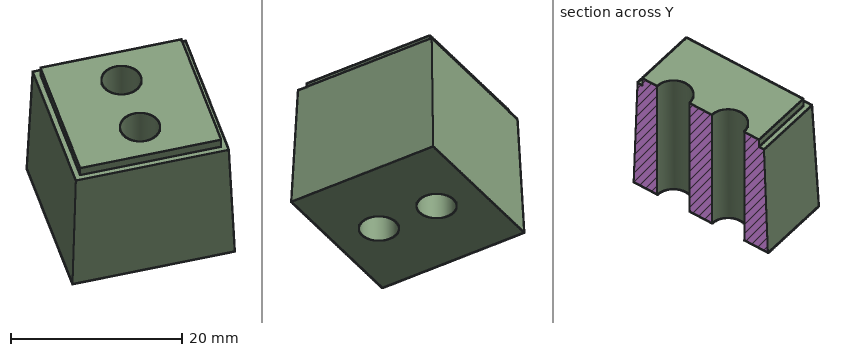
import cadquery as cq

base_side = 19.71
total_height = 17.7

pad_side = 17.1
pad_height = 1.16

shoulder_side = 18.57
body_height = total_height - pad_height

hole_diameter = 4.7
hole_spacing = 8.0


def tapered_body():
    """Square frustum standing on the XY plane."""
    return (
        cq.Workplane("XY")
        .rect(base_side, base_side)
        .workplane(offset=body_height)
        .rect(shoulder_side, shoulder_side)
        .loft(ruled=True)
    )


def top_pad():
    """Straight-sided pad, set in from the shoulder of the body."""
    return (
        cq.Workplane("XY")
        .workplane(offset=body_height)
        .rect(pad_side, pad_side)
        .extrude(pad_height)
    )


def through_holes():
    """Two vertical cylinders spanning the full height."""
    return (
        cq.Workplane("XY")
        .rarray(hole_spacing, 0.2, 2, 1)
        .circle(hole_diameter / 2)
        .extrude(total_height)
    )


result = tapered_body().union(top_pad()).cut(through_holes())